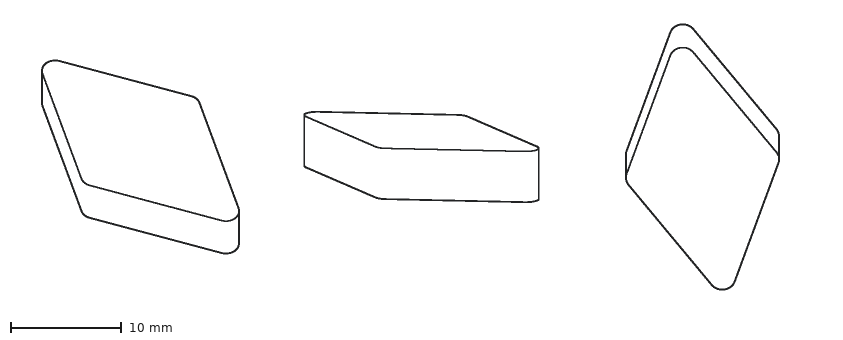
import cadquery as cq
import math

overall_length = 22.2
width = 12.7
thickness = 4.75
acute_angle = math.radians(55)

side = width / math.sin(acute_angle)
slant_run = side * math.cos(acute_angle)
sharp_length = side + slant_run

shortening_per_radius = 1 / math.tan(acute_angle / 2) - 1
corner_radius = (sharp_length - overall_length) / (2 * shortening_per_radius)

half_length = sharp_length / 2
half_width = width / 2
corners = [
    (-half_length, -half_width),
    (-half_length + side, -half_width),
    (half_length, half_width),
    (half_length - side, half_width),
]

result = (
    cq.Workplane("XY")
    .polyline(corners)
    .close()
    .extrude(thickness)
    .edges("|Z")
    .fillet(corner_radius)
)